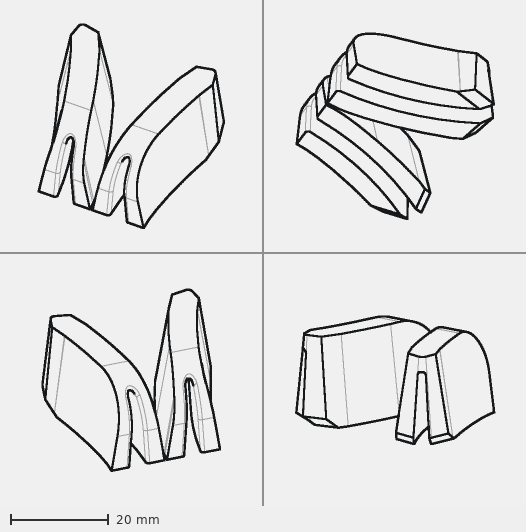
import cadquery as cq
import math

HEIGHT = 19.0
SIDE_DRAFT = 8.5
HALF_GAP = 0.25
NOSE_RADIUS = 10.5
MARGIN = 6.0

OUTER_FRONT = (-11.72, 0.0)
OUTER_FLARE = (-12.02, 3.6)
OUTER_MIDDLE = (-13.47, 10.55)
OUTER_BEND = (-16.94, 21.7)
OUTER_BEND_SLOPE = 0.36
OUTER_BACK_SLOPE = 0.43
INNER_FRONT = (-HALF_GAP, 1.5)
INNER_FLARE = (-0.4, 3.84)
INNER_MIDDLE = (-2.36, 13.7)
INNER_BEND = (-6.3, 26.2)
INNER_BEND_SLOPE = 0.38
INNER_BACK_SLOPE = 0.5

BACK_TURN = 11.3
BACK_DRAFT = 5.7
BACK_CORNER = (-16.41, 31.98)
BACK_CORNER_RADIUS = 1.0
CHAMFER_HEIGHT = 2.1
CHAMFER_WIDTH = 1.9

SLOT_BEND_RADIUS = 67.5
SLOT_START = (-5.88, 0.0)
SLOT_START_TURN = 3.4
SLOT_END_ANGLE = 40.0
SLOT_HALF_BASE = 1.75
SLOT_HALF_TOP = 0.85
SLOT_WALL_HEIGHT = 15.1
MOUTH_RADIUS = 0.7


def tapered_blank():
    """Curved block with leaning sides, longer than the finished pad at both ends."""
    back_y = BACK_CORNER[1] + MARGIN
    outer_back = (OUTER_BEND[0] - OUTER_BACK_SLOPE * (back_y - OUTER_BEND[1]), back_y)
    inner_back = (INNER_BEND[0] - INNER_BACK_SLOPE * (back_y - INNER_BEND[1]), back_y)
    return (
        cq.Workplane("XY")
        .moveTo(OUTER_FRONT[0], -MARGIN)
        .lineTo(*OUTER_FRONT)
        .spline(
            [OUTER_FLARE, OUTER_MIDDLE, OUTER_BEND],
            tangents=[(0, 1), (-OUTER_BEND_SLOPE, 1)],
            includeCurrent=True,
        )
        .lineTo(*outer_back)
        .lineTo(*inner_back)
        .lineTo(*INNER_BEND)
        .spline(
            [INNER_MIDDLE, INNER_FLARE, INNER_FRONT],
            tangents=[(INNER_BEND_SLOPE, -1), (0, -1)],
            includeCurrent=True,
        )
        .lineTo(INNER_FRONT[0], -MARGIN)
        .close()
        .extrude(HEIGHT, taper=SIDE_DRAFT)
    )


def nose_envelope():
    """Side profile: vertical front face, rounded nose and flat top."""
    length = BACK_CORNER[1] + 2 * MARGIN
    width = 2 * length
    rise = NOSE_RADIUS * math.sin(math.radians(45))
    return (
        cq.Workplane("YZ")
        .lineTo(0, HEIGHT - NOSE_RADIUS)
        .threePointArc(
            (NOSE_RADIUS - rise, HEIGHT - NOSE_RADIUS + rise),
            (NOSE_RADIUS, HEIGHT),
        )
        .lineTo(length, HEIGHT)
        .lineTo(length, 0)
        .close()
        .extrude(-width)
    )


def back_envelope():
    """Space in front of the two leaning back faces and their bottom chamfers.

    The rounding between the faces is a cone: it widens downward as the faces spread.
    """
    reach = 3 * BACK_CORNER[1]
    wall_height = HEIGHT - CHAMFER_HEIGHT
    lean = wall_height * math.tan(math.radians(BACK_DRAFT))
    chamfer_angle = math.degrees(math.atan(CHAMFER_WIDTH / CHAMFER_HEIGHT))
    outline = (
        cq.Sketch()
        .push([(reach / 2, -reach / 2)])
        .rect(reach, reach)
        .reset()
        .vertices("<X and >Y")
        .fillet(BACK_CORNER_RADIUS + lean)
    )
    walls = cq.Workplane("XY").placeSketch(outline).extrude(wall_height, taper=BACK_DRAFT)
    chamfers = cq.Workplane("XY").placeSketch(outline).extrude(-CHAMFER_HEIGHT, taper=chamfer_angle)
    return (
        walls.union(chamfers)
        .rotate((0, 0, 0), (0, 0, 1), -BACK_TURN)
        .translate((*BACK_CORNER, CHAMFER_HEIGHT))
    )


def slot():
    """Tapered, round-topped groove swung about a vertical axis."""
    turn = math.radians(SLOT_START_TURN)
    pivot_x = SLOT_START[0] - SLOT_BEND_RADIUS * math.cos(turn)
    pivot_y = SLOT_START[1] - SLOT_BEND_RADIUS * math.sin(turn)
    return (
        cq.Workplane("XZ")
        .moveTo(SLOT_BEND_RADIUS - SLOT_HALF_BASE, 0)
        .lineTo(SLOT_BEND_RADIUS - SLOT_HALF_TOP, SLOT_WALL_HEIGHT)
        .threePointArc(
            (SLOT_BEND_RADIUS, SLOT_WALL_HEIGHT + SLOT_HALF_TOP),
            (SLOT_BEND_RADIUS + SLOT_HALF_TOP, SLOT_WALL_HEIGHT),
        )
        .lineTo(SLOT_BEND_RADIUS + SLOT_HALF_BASE, 0)
        .close()
        .revolve(SLOT_END_ANGLE, (0, 0, 0), (0, 1, 0))
        .translate((pivot_x, pivot_y, 0))
    )


def make_pad():
    """Pad on the -X side, with its slot rounded where it opens at the front."""
    pad = tapered_blank().intersect(nose_envelope()).intersect(back_envelope()).cut(slot())
    mouth_edges = cq.selectors.BoxSelector(
        (SLOT_START[0] - SLOT_HALF_BASE, -MOUTH_RADIUS, MOUTH_RADIUS),
        (SLOT_START[0] + SLOT_HALF_BASE, NOSE_RADIUS / 2, HEIGHT - MOUTH_RADIUS),
    )
    return pad.edges(mouth_edges).fillet(MOUTH_RADIUS)


left_pad = make_pad()
right_pad = left_pad.mirror("YZ")
result = cq.Compound.makeCompound([left_pad.val(), right_pad.val()])